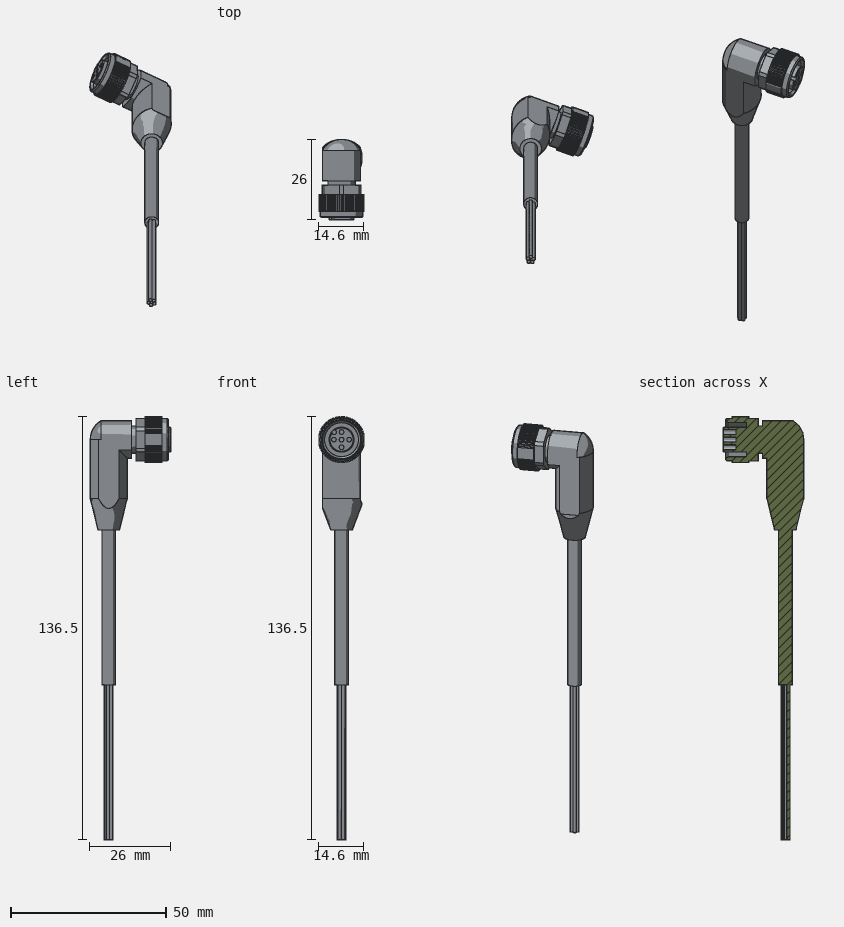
import cadquery as cq
import math

length = 136.5

knurl_diameter = 14.9
knurl_width = 14.6
knurl_groove_count = 52
knurl_groove_depth = 0.34
knurl_groove_width = 0.4
collar_diameter = 13.8
collar_chamfer = 0.4
collar_front = 0.8
knurl_front = 2.9
knurl_back = 8.3
nut_back = 11.3
hex_sides = 6
hex_across_flats = 12.5

mouth_diameter = 12.3
bore_diameter = 10.9
bore_cone_depth = 0.8
bore_floor = 7.5
insert_diameter = 8.0
insert_chamfer = 0.3
contact_diameter = 1.5
contact_circle_radius = 2.5
contact_depth = 4.1
outer_contact_count = 4
key_diameter = 1.5
key_radius = 3.4

neck_diameter = 8.9
body_front = 12.7
body_back = 26.0
body_half_width = 6.1
leg_half_depth = 6.0
barrel_sagitta = 2.7
leg_bottom = -19.0
dome_sagitta = 3.5
taper_end_diameter = 7.0
bulge_top = -19.6
bulge_peak = -20.9
bulge_reach = 6.7
taper_half_width = 7.4

cable_diameter = 4.5
cable_length = 50.0
wire_diameter = 1.15
wire_count = 5
wire_pitch = 1.12
wire_length = 50.0

cable_y = body_back - leg_half_depth
wire_bottom = knurl_diameter / 2 - length
cable_bottom = wire_bottom + wire_length
taper_bottom = cable_bottom + cable_length


def y_cylinder(diameter, front, back, x=0.0, z=0.0):
    """Cylinder along Y between two depths."""
    plane = cq.Plane(origin=(x, front, z), xDir=(1, 0, 0), normal=(0, 1, 0))
    return cq.Workplane(plane).circle(diameter / 2).extrude(back - front)


def z_cylinder(diameter, bottom, top, x, y):
    """Cylinder along Z between two heights."""
    return cq.Workplane("XY", origin=(x, y, bottom)).circle(diameter / 2).extrude(top - bottom)


def knurled_ring():
    """Grooved ring with a plain flat on each side."""
    ring_length = knurl_back - knurl_front
    ring = y_cylinder(knurl_diameter, knurl_front, knurl_back)
    groove = (
        cq.Workplane("XY")
        .box(knurl_groove_width, ring_length, 2 * knurl_groove_depth)
        .translate((0, knurl_front + ring_length / 2, knurl_diameter / 2))
    )
    flat_half_angle = math.degrees(math.acos(knurl_width / knurl_diameter))
    for i in range(knurl_groove_count):
        angle = (i + 0.5) * 360 / knurl_groove_count
        angle_from_flat = abs((angle % 180) - 90)
        if angle_from_flat > flat_half_angle:
            ring = ring.cut(groove.rotate((0, 0, 0), (0, 1, 0), angle))
    flats = cq.Workplane("XY").box(knurl_width, 2 * knurl_back, knurl_diameter)
    return ring.intersect(flats)


def hex_section():
    """Hexagon with corners at top and bottom, all corners turned down to the collar diameter."""
    plane = cq.Plane(origin=(0, knurl_back, 0), xDir=(0, 0, 1), normal=(0, 1, 0))
    corner_diameter = hex_across_flats / math.cos(math.pi / hex_sides)
    hexagon = cq.Workplane(plane).polygon(hex_sides, corner_diameter).extrude(nut_back - knurl_back)
    return hexagon.intersect(y_cylinder(collar_diameter, knurl_back, nut_back))


def socket_cavity():
    """Bore with a conical mouth, revolved about the connector axis."""
    cone_end = collar_front + bore_cone_depth
    return (
        cq.Workplane("XY")
        .moveTo(0, collar_front)
        .lineTo(mouth_diameter / 2, collar_front)
        .lineTo(bore_diameter / 2, cone_end)
        .lineTo(bore_diameter / 2, bore_floor)
        .lineTo(0, bore_floor)
        .close()
        .revolve(360, (0, 0, 0), (0, 1, 0))
    )


def coupling_nut():
    collar = y_cylinder(collar_diameter, collar_front, knurl_front).faces("<Y").chamfer(collar_chamfer)
    nut = collar.union(knurled_ring()).union(hex_section())
    return nut.cut(socket_cavity())


def contact_insert():
    """Insert with a centre contact, four around it, and a keyway at its upper left."""
    insert = y_cylinder(insert_diameter, 0, bore_floor).faces("<Y").chamfer(insert_chamfer)
    insert = insert.cut(y_cylinder(contact_diameter, 0, contact_depth))
    for i in range(outer_contact_count):
        angle = i * 2 * math.pi / outer_contact_count
        x = contact_circle_radius * math.cos(angle)
        z = contact_circle_radius * math.sin(angle)
        insert = insert.cut(y_cylinder(contact_diameter, 0, contact_depth, x, z))
    key_offset = key_radius / math.sqrt(2)
    return insert.cut(y_cylinder(key_diameter, 0, contact_depth, -key_offset, key_offset))


def barrel_section(plane, half_height):
    """Outline with two flat sides, closed by shallow arcs at both ends."""
    flat_half = half_height - barrel_sagitta
    return (
        cq.Workplane(plane)
        .moveTo(-body_half_width, -flat_half)
        .threePointArc((0, -half_height), (body_half_width, -flat_half))
        .lineTo(body_half_width, flat_half)
        .threePointArc((0, half_height), (-body_half_width, flat_half))
        .close()
    )


def housing_head():
    """Upper half of the horizontal arm, round about the connector axis and domed at the back."""
    dome_start = body_back - dome_sagitta
    dome_radius = (body_half_width**2 + dome_sagitta**2) / (2 * dome_sagitta)
    return (
        cq.Workplane("XY")
        .moveTo(0, body_front)
        .lineTo(body_half_width, body_front)
        .lineTo(body_half_width, dome_start)
        .radiusArc((0, body_back), -dome_radius)
        .close()
        .revolve(180, (0, 0, 0), (0, -1, 0))
    )


def arm_lower():
    """Lower half of the arm, mitred where it runs into the vertical leg."""
    plane = cq.Plane(origin=(0, body_front, 0), xDir=(1, 0, 0), normal=(0, 1, 0))
    arm = barrel_section(plane, leg_half_depth).extrude(cable_y - body_front)
    mitre = (
        cq.Workplane("YZ")
        .moveTo(body_front, 0)
        .lineTo(cable_y, 0)
        .lineTo(body_front + leg_half_depth, -leg_half_depth)
        .lineTo(body_front, -leg_half_depth)
        .close()
        .extrude(body_half_width, both=True)
    )
    return arm.intersect(mitre)


def vertical_leg():
    plane = cq.Plane(origin=(0, cable_y, leg_bottom), xDir=(1, 0, 0), normal=(0, 0, 1))
    return barrel_section(plane, leg_half_depth).extrude(-leg_bottom)


def cable_taper():
    """Oval cone down to the cable; flat at -X, with a slight bulge left standing at +X."""
    drop = taper_bottom - leg_bottom
    cone = (
        cq.Workplane("XY", origin=(0, cable_y, leg_bottom))
        .ellipse(taper_half_width, leg_half_depth)
        .workplane(offset=drop)
        .circle(taper_end_diameter / 2)
        .loft(ruled=True)
    )
    side_trim = (
        cq.Workplane("XZ", origin=(0, cable_y, 0))
        .moveTo(-body_half_width, leg_bottom)
        .lineTo(body_half_width, leg_bottom)
        .lineTo(body_half_width, bulge_top)
        .lineTo(bulge_reach, bulge_peak)
        .lineTo(bulge_reach, taper_bottom)
        .lineTo(-body_half_width, taper_bottom)
        .close()
        .extrude(leg_half_depth, both=True)
    )
    return cone.intersect(side_trim)


def wires():
    """Ring of wires, one at the back and two at the front, pressed together."""
    circle_radius = wire_pitch / (2 * math.sin(math.pi / wire_count))
    bundle = cq.Workplane("XY")
    for i in range(wire_count):
        angle = math.pi / 2 + i * 2 * math.pi / wire_count
        x = circle_radius * math.cos(angle)
        y = cable_y + circle_radius * math.sin(angle)
        bundle = bundle.union(z_cylinder(wire_diameter, wire_bottom, cable_bottom, x, y))
    return bundle


result = (
    coupling_nut()
    .union(contact_insert())
    .union(y_cylinder(neck_diameter, nut_back, cable_y))
    .union(housing_head())
    .union(arm_lower())
    .union(vertical_leg())
    .union(cable_taper())
    .union(z_cylinder(cable_diameter, cable_bottom, taper_bottom, 0, cable_y))
    .union(wires())
)